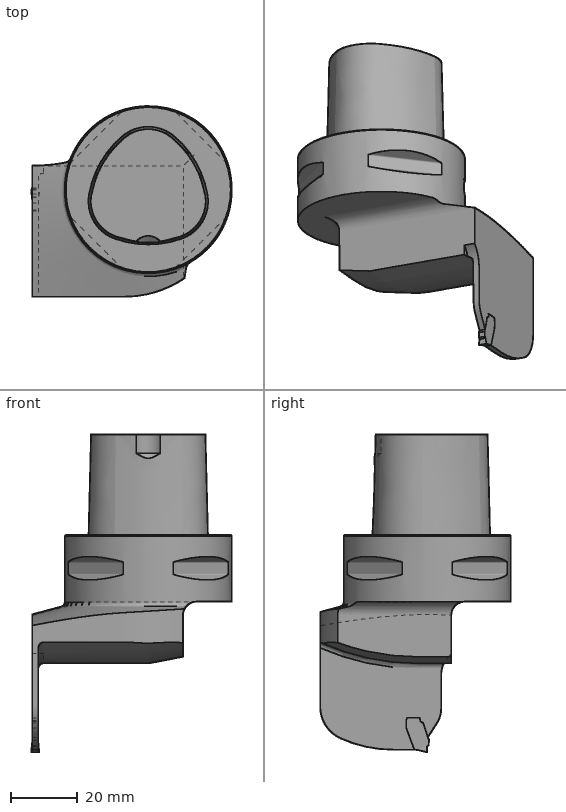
import cadquery as cq
import math


SHANK_HEIGHT = 30.0
LOBE_PEAK = 18.8
FLAT_REACH = 16.4
LOBE_RADIUS = 11.9
TAPER_PER_SIDE = 1 / 40
FIRST_LOBE_ANGLE = 90.0
LOBE_COUNT = 3
LOBE_SPACING = 360 / LOBE_COUNT

NOTCH_RADIUS = 4.6
NOTCH_DEPTH = 5.6
NOTCH_AXIS_Y = -18.4
NOTCH_POINT_ANGLE = 105.0

FLANGE_RADIUS = 25.0
FLANGE_HEIGHT = 20.0
FLANGE_CHAMFER = 0.4
SLOT_Z = -FLANGE_HEIGHT / 2
SLOT_FLOOR_REACH = 22.15
SLOT_FLOOR_HEIGHT = 3.7
SLOT_FLANK_ANGLE = 30.0
SLOT_CORNER_RADIUS = 0.5
SLOT_COUNT = 4
FIRST_SLOT_ANGLE = 45.0

BLADE_FACE_X = -34.7
FRONT_Y = -32.0
BACK_Y = 7.2
RIGHT_X = 10.4
WALL_FLARE_RADIUS = 4.0
FRONT_ARC_RADIUS = 32.0
FRONT_ARC_START_X = -7.2
CONE_SLOPE = 15.0
NECK_HEIGHT = 0.2
NECK_FILLET = 1.25

UNDERSIDE_Z = -38.4
UNDERSIDE_RADIUS = 70.0
UNDERSIDE_AXIS_Y = -3.0
UNDERSIDE_BEND_X = 0.3
UNDERSIDE_RISE_ANGLE = 11.0
BEND_OVERLAP = 5.0
UNDERSIDE_FILLET = 1.5

BLADE_THICKNESS = 1.9
BLADE_INNER_X = BLADE_FACE_X + BLADE_THICKNESS
BLADE_BOTTOM_Z = -64.2
BLADE_FLAT_END_Y = -10.3
BLADE_CORNER = (-25.9, -60.8)
BLADE_BACK_Y = 4.2
BACK_STEP_TOP_Z = -35.4
BACK_STEP_BOTTOM_Z = -41.9
BACK_STEP_RADIUS = 8.6
BACK_RELIEF_TOP_Z = -52.0
BACK_RELIEF_END = (2.95, -56.2)
BLADE_ROUND_START_Z = -51.5

TIP_Z = -65.0
TIP_WIDTH = 2.5
INSERT_TOP_Z = -54.7
INSERT_HEEL = (-3.85, BLADE_BOTTOM_Z)
INSERT_BACK = (0.2, -60.5)
HEAD_LINE_START = (0.5, -62.1)
HEAD_LINE_END = (-2.9, -64.3)

FAR = 60.0
CUT_FLOOR_Z = -FLANGE_HEIGHT - FAR
CLEARANCE = 1.0


def on_circle(radius, degrees):
    angle = math.radians(degrees)
    return radius * math.cos(angle), radius * math.sin(angle)


def shank_outline(z, inset):
    """Three lobes joined by three flatter sides, all arcs tangent, moved inward by inset."""
    lobe_radius = LOBE_RADIUS - inset
    lobe_center = LOBE_PEAK - LOBE_RADIUS
    gap = FLAT_REACH - LOBE_RADIUS
    side_center = (lobe_center**2 - gap**2) / (2 * gap - lobe_center)
    half_sector = math.radians(LOBE_SPACING / 4)
    half_lobe = math.degrees(
        math.atan2(
            side_center * math.cos(half_sector),
            lobe_center + side_center * math.sin(half_sector),
        )
    )

    def lobe_point(lobe_angle, turn):
        center = on_circle(lobe_center, lobe_angle)
        reach = on_circle(lobe_radius, lobe_angle + turn)
        return center[0] + reach[0], center[1] + reach[1]

    outline = cq.Workplane("XY", origin=(0, 0, z)).moveTo(*lobe_point(FIRST_LOBE_ANGLE, -half_lobe))
    for index in range(LOBE_COUNT):
        angle = FIRST_LOBE_ANGLE + LOBE_SPACING * index
        outline = outline.threePointArc(lobe_point(angle, 0), lobe_point(angle, half_lobe))
        side_middle = on_circle(FLAT_REACH - inset, angle + LOBE_SPACING / 2)
        outline = outline.threePointArc(side_middle, lobe_point(angle + LOBE_SPACING, -half_lobe))
    return outline.close().wires().val()


def make_shank():
    base = shank_outline(0, 0)
    top = shank_outline(SHANK_HEIGHT, SHANK_HEIGHT * TAPER_PER_SIDE)
    shank = cq.Workplane(cq.Solid.makeLoft([base, top], True))
    point_depth = NOTCH_RADIUS / math.tan(math.radians(NOTCH_POINT_ANGLE / 2))
    shoulder_z = SHANK_HEIGHT - NOTCH_DEPTH
    notch = (
        cq.Workplane("XZ")
        .moveTo(0, shoulder_z - point_depth)
        .lineTo(NOTCH_RADIUS, shoulder_z)
        .lineTo(NOTCH_RADIUS, FAR)
        .lineTo(0, FAR)
        .close()
        .revolve(360, (0, 0, 0), (0, 1, 0))
        .translate((0, NOTCH_AXIS_Y, 0))
    )
    return shank.cut(notch)


def make_flange():
    flange = (
        cq.Workplane("XY", origin=(0, 0, -FLANGE_HEIGHT))
        .circle(FLANGE_RADIUS)
        .extrude(FLANGE_HEIGHT)
        .faces(">Z")
        .edges()
        .chamfer(FLANGE_CHAMFER)
    )
    mouth_reach = FLANGE_RADIUS + CLEARANCE
    floor_half = SLOT_FLOOR_HEIGHT / 2
    mouth_half = floor_half + (mouth_reach - SLOT_FLOOR_REACH) * math.tan(math.radians(SLOT_FLANK_ANGLE))
    slot = (
        cq.Workplane("XZ")
        .moveTo(SLOT_FLOOR_REACH, SLOT_Z - floor_half)
        .lineTo(mouth_reach, SLOT_Z - mouth_half)
        .lineTo(mouth_reach, SLOT_Z + mouth_half)
        .lineTo(SLOT_FLOOR_REACH, SLOT_Z + floor_half)
        .close()
        .extrude(FLANGE_RADIUS, both=True)
        .faces("<X")
        .edges("|Y")
        .fillet(SLOT_CORNER_RADIUS)
    )
    for index in range(SLOT_COUNT):
        angle = FIRST_SLOT_ANGLE + index * 360 / SLOT_COUNT
        flange = flange.cut(slot.rotate((0, 0, 0), (0, 0, 1), angle))
    return flange


def block_plan():
    """Prism below the flange: straight front wall that ends in an arc on the right."""
    right = RIGHT_X + WALL_FLARE_RADIUS
    back = BACK_Y + WALL_FLARE_RADIUS
    arc_center_y = FRONT_Y + FRONT_ARC_RADIUS
    arc_end_y = arc_center_y - math.sqrt(FRONT_ARC_RADIUS**2 - (right - FRONT_ARC_START_X) ** 2)
    return (
        cq.Workplane("XY", origin=(0, 0, -FLANGE_HEIGHT))
        .moveTo(BLADE_FACE_X, back)
        .lineTo(BLADE_FACE_X, FRONT_Y)
        .lineTo(FRONT_ARC_START_X, FRONT_Y)
        .tangentArcPoint((right, arc_end_y), relative=False)
        .lineTo(right, back)
        .close()
        .extrude(BLADE_BOTTOM_Z + FLANGE_HEIGHT)
    )


def cone_envelope():
    """Turned limit of the block top: a cone that meets the flange in a small fillet."""
    slope = math.radians(CONE_SLOPE)
    tangent_length = NECK_FILLET * math.tan((math.pi / 2 - slope) / 2)
    fillet_start_z = -FLANGE_HEIGHT - NECK_HEIGHT
    cone_top_z = fillet_start_z - tangent_length
    fillet_end = (
        FLANGE_RADIUS + tangent_length * math.cos(slope),
        cone_top_z - tangent_length * math.sin(slope),
    )
    return (
        cq.Workplane("XZ")
        .moveTo(0, -FLANGE_HEIGHT)
        .lineTo(FLANGE_RADIUS, -FLANGE_HEIGHT)
        .lineTo(FLANGE_RADIUS, fillet_start_z)
        .tangentArcPoint(fillet_end, relative=False)
        .lineTo(FAR, cone_top_z - (FAR - FLANGE_RADIUS) * math.tan(slope))
        .lineTo(FAR, TIP_Z)
        .lineTo(0, TIP_Z)
        .close()
        .revolve(360, (0, 0, 0), (0, 1, 0))
    )


def wall_cutter(plane, wall, span):
    """Removes what lies beyond a wall that flares outward below the flange."""
    flare_z = -FLANGE_HEIGHT - WALL_FLARE_RADIUS
    return (
        cq.Workplane(plane)
        .moveTo(wall, CUT_FLOOR_Z)
        .lineTo(wall, flare_z)
        .tangentArcPoint((wall + WALL_FLARE_RADIUS, -FLANGE_HEIGHT), relative=False)
        .lineTo(FAR, -FLANGE_HEIGHT)
        .lineTo(FAR, CUT_FLOOR_Z)
        .close()
        .extrude(span, both=True)
    )


def underside_cutter():
    """Space below the block, with a rounded roof that rises to the right of the bend."""
    axis_z = UNDERSIDE_Z + UNDERSIDE_RADIUS

    def roof(y):
        return axis_z - math.sqrt(UNDERSIDE_RADIUS**2 - (y - UNDERSIDE_AXIS_Y) ** 2)

    start_y = FRONT_Y - CLEARANCE
    space = (
        cq.Workplane("YZ", origin=(BLADE_INNER_X, 0, 0))
        .moveTo(start_y, CUT_FLOOR_Z)
        .lineTo(start_y, roof(start_y))
        .threePointArc((start_y / 2, roof(start_y / 2)), (UNDERSIDE_AXIS_Y, UNDERSIDE_Z))
        .lineTo(FLANGE_RADIUS, UNDERSIDE_Z)
        .lineTo(FLANGE_RADIUS, CUT_FLOOR_Z)
        .close()
        .extrude(FAR)
    )
    bend = (UNDERSIDE_BEND_X, 0, UNDERSIDE_Z)
    bend_end = (UNDERSIDE_BEND_X, 1, UNDERSIDE_Z)
    right_of_bend = cq.Workplane("XY").box(FAR, 2 * FAR, 2 * FAR, centered=(False, True, True))
    rising = space.rotate(bend, bend_end, -UNDERSIDE_RISE_ANGLE)
    rising = rising.intersect(right_of_bend.translate((UNDERSIDE_BEND_X - BEND_OVERLAP, 0, UNDERSIDE_Z)))
    inner_edges = cq.selectors.BoxSelector(
        (BLADE_INNER_X - CLEARANCE, -FAR, UNDERSIDE_Z - CLEARANCE), (BLADE_INNER_X + CLEARANCE, FAR, 0)
    )
    space = space.faces("<X").edges(inner_edges).edges("not |Z").fillet(UNDERSIDE_FILLET)
    return space.union(rising)


def blade_side():
    """Side outline of the blade, extruded through the blade and its root fillet."""
    return (
        cq.Workplane("YZ", origin=(BLADE_FACE_X, 0, 0))
        .moveTo(*INSERT_HEEL)
        .lineTo(BLADE_FLAT_END_Y, BLADE_BOTTOM_Z)
        .tangentArcPoint(BLADE_CORNER, relative=False)
        .tangentArcPoint((FRONT_Y, BLADE_ROUND_START_Z), relative=False)
        .lineTo(FRONT_Y, 0)
        .lineTo(FLANGE_RADIUS, 0)
        .lineTo(FLANGE_RADIUS, BACK_STEP_TOP_Z)
        .lineTo(BACK_Y, BACK_STEP_TOP_Z)
        .radiusArc((BLADE_BACK_Y, BACK_STEP_BOTTOM_Z), -BACK_STEP_RADIUS)
        .lineTo(BLADE_BACK_Y, BACK_RELIEF_TOP_Z)
        .tangentArcPoint(BACK_RELIEF_END, relative=False)
        .lineTo(*INSERT_BACK)
        .close()
        .extrude(BLADE_THICKNESS + UNDERSIDE_FILLET)
    )


def insert_shank():
    """Seated part of the insert, flush with both faces of the blade."""
    outline = [
        INSERT_HEEL,
        (-6.3, -57.6),
        (-6.3, -55.4),
        (-6.0, INSERT_TOP_Z),
        (-2.2, INSERT_TOP_Z),
        (-2.1, -55.7),
        (-1.2, -56.2),
        INSERT_BACK,
        (0.6, -61.3),
        HEAD_LINE_START,
        HEAD_LINE_END,
    ]
    return cq.Workplane("YZ", origin=(BLADE_FACE_X, 0, 0)).polyline(outline).close().extrude(BLADE_THICKNESS)


def insert_head():
    """Cutting tip that widens evenly from the blade thickness to the cutting edge."""
    outline = [HEAD_LINE_START, (0.45, -62.8), (0.0, -63.2), (0.0, TIP_Z), HEAD_LINE_END]
    side_growth = (TIP_WIDTH - BLADE_THICKNESS) / 2
    head = (
        cq.Workplane("YZ", origin=(BLADE_FACE_X - side_growth, 0, 0))
        .polyline(outline)
        .close()
        .extrude(TIP_WIDTH)
    )
    line_run = HEAD_LINE_START[0] - HEAD_LINE_END[0]
    line_rise = HEAD_LINE_START[1] - HEAD_LINE_END[1]
    line_length = math.hypot(line_run, line_rise)
    tip_distance = (line_run * (HEAD_LINE_END[1] - TIP_Z) - line_rise * HEAD_LINE_END[0]) / line_length
    middle = cq.Plane(
        origin=(BLADE_FACE_X + BLADE_THICKNESS / 2, *HEAD_LINE_END),
        xDir=(1, 0, 0),
        normal=(0, line_run, line_rise),
    )
    wedge = (
        cq.Workplane(middle)
        .moveTo(-BLADE_THICKNESS / 2, 0)
        .lineTo(BLADE_THICKNESS / 2, 0)
        .lineTo(TIP_WIDTH / 2, tip_distance)
        .lineTo(-TIP_WIDTH / 2, tip_distance)
        .close()
        .extrude(2 * line_length, both=True)
    )
    return head.intersect(wedge)


def make_holder(insert):
    block = block_plan().intersect(cone_envelope())
    block = block.cut(wall_cutter("XZ", RIGHT_X, FAR))
    block = block.cut(wall_cutter("YZ", BACK_Y, FAR))
    block = block.cut(underside_cutter())
    blade_depth = BLADE_THICKNESS + UNDERSIDE_FILLET
    blade_stock = cq.Workplane("XY").box(blade_depth, 4 * FAR, 4 * FAR, centered=(False, True, True))
    blade_stock = blade_stock.translate((BLADE_FACE_X, 0, 0))
    block = block.cut(blade_stock.cut(blade_side()))
    return make_shank().union(make_flange()).union(block).cut(insert)


insert = insert_shank().union(insert_head())
holder = make_holder(insert)
result = cq.Compound.makeCompound([holder.val(), insert.val()])